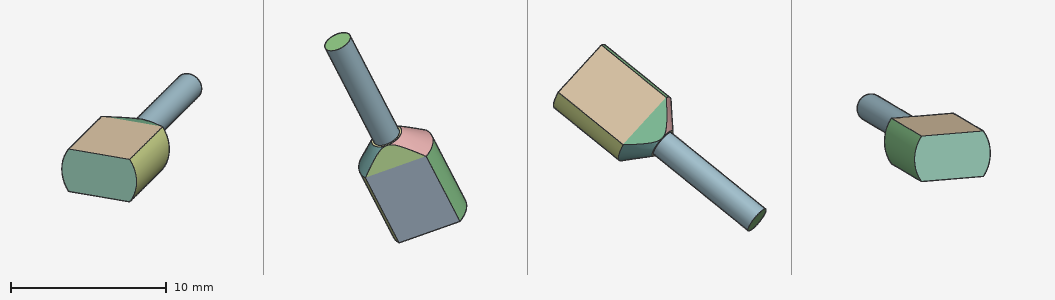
import cadquery as cq

total_length = 15.0
sleeve_width = 5.2
sleeve_height = 3.0
sleeve_length = 5.5
shoulder_length = 1.5
shoulder_end_diameter = 2.1
pin_diameter = 1.8

sleeve_radius = sleeve_width / 2
sleeve_half_height = sleeve_height / 2
shoulder_end_radius = shoulder_end_diameter / 2
shoulder_end_y = sleeve_length + shoulder_length


def round_blank():
    """Sleeve cylinder, conical shoulder and pin, turned about the Y axis."""
    half_profile = (
        cq.Workplane("XY")
        .moveTo(0, 0)
        .lineTo(sleeve_radius, 0)
        .lineTo(sleeve_radius, sleeve_length)
        .lineTo(shoulder_end_radius, shoulder_end_y)
        .lineTo(pin_diameter / 2, shoulder_end_y)
        .lineTo(pin_diameter / 2, total_length)
        .lineTo(0, total_length)
        .close()
    )
    return half_profile.revolve(360, (0, 0, 0), (0, 1, 0))


def flattened_envelope():
    """Slab with parallel flats over the sleeve that taper inward along the shoulder.

    The tapered flats just touch the small end of the cone, and the slab
    stays clear of the pin beyond it.
    """
    side_profile = (
        cq.Workplane("YZ")
        .moveTo(0, -sleeve_half_height)
        .lineTo(sleeve_length, -sleeve_half_height)
        .lineTo(shoulder_end_y, -shoulder_end_radius)
        .lineTo(total_length, -shoulder_end_radius)
        .lineTo(total_length, shoulder_end_radius)
        .lineTo(shoulder_end_y, shoulder_end_radius)
        .lineTo(sleeve_length, sleeve_half_height)
        .lineTo(0, sleeve_half_height)
        .close()
    )
    return side_profile.extrude(sleeve_radius, both=True)


result = round_blank().intersect(flattened_envelope())